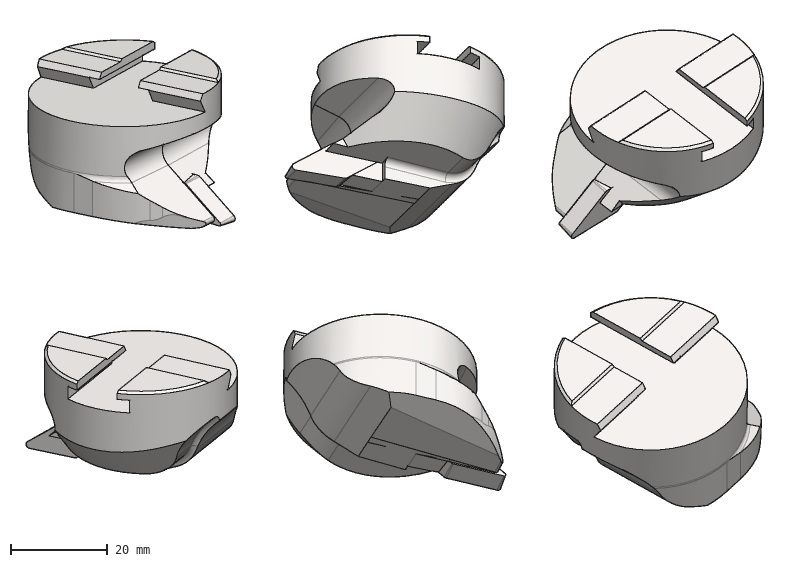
import cadquery as cq
import math


HEAD_RADIUS = 20.0
HEAD_DEPTH = 11.0
REACH = 40.0
LOWEST = -26.0

COUPLING_HEIGHT = 4.75
STEP = 0.5
LEDGE_HEIGHT = COUPLING_HEIGHT - STEP
LEDGE_BACK_Y = 5.95
RIM_CHAMFER = 0.6
DOVETAIL_ROOT_Y = -0.7
DOVETAIL_NOSE_Y = -2.34
DOVETAIL_NOSE_HEIGHT = 2.85
DOVETAIL_TOP_Y = -1.5
SLOT_WIDTH = 9.45
UNDERCUT_WIDTH = 14.45
UNDERCUT_HEIGHT = 2.9

ARM_RADIUS = 20.04
FRONT_FLAT = 4.5
FLANK_START = (16.2, -16.26)
FLANK_END = (18.3, -14.74)
FLANK_BEND = (21.4, -11.7)
FLANK_TIP = (25.2, -7.0)

SHOULDER_FILLET = 1.6
SHOULDER_TURN = math.radians(50)
SHOULDER_OUTER = 30.0

CLEARANCE_CENTER = (-3.15, 10.7)
CLEARANCE_RADIUS = 36.07
CLEARANCE_TAPER = 0.1456

BELLY_Z = -20.05
BELLY_SLOPE = 0.2313

INSERT_TURN = math.radians(3.65)
INSERT_ANGLE = math.radians(35)
BOTTOM_TILT = math.radians(2.9)
TOP_TILT = BOTTOM_TILT + INSERT_ANGLE
INSERT_SIDE = 13.84
INSERT_THICKNESS = 4.6
INSERT_RELIEF = 5.0
NOSE_RADIUS = 0.8
INSERT_TIP = (28.31, -23.39)
SEAT_Y = -2.82

SCOOP_APEX = (6.95, -7.57)
SCOOP_RISE = math.radians(16.7)
SCOOP_RADIUS = 3.87
HOLDER_TIP = (26.2, -22.56)
HOLDER_NOSE_RADIUS = 0.76
GULLET_WALL = 6.3
SEAT_LEDGE_Z = -21.57

LEFT_TOP = (-20.5, -5.2)
LEFT_BULGE = (-17.2, -8.45)
LEFT_TURN = (-14.45, -13.4)
LEFT_HOLLOW_END = (-9.2, -18.66)
LEFT_FOOT_TILT = math.radians(-24)

REAR_TOP = (-20.5, -3.6)
REAR_BULGE = (-16.4, -7.6)
REAR_TURN = (-13.8, -12.3)
REAR_FLOOR_START_X = -7.3
REAR_WALL_Y = 2.63
REAR_FLOOR_Z = -17.2
REAR_FILLET = 1.5
BEVEL_CENTER = (0.4, -11.0, -10.0)
BEVEL_RADIUS = 22.3
BEVEL_SLOPE = 0.934


def ray(start, angle, length):
    """Point at a distance from start, along an angle from the first axis."""
    return (start[0] + length * math.cos(angle), start[1] + length * math.sin(angle))


def insert_plane(offset):
    """Plane parallel to the seat; offset runs from the seat towards the rake face."""
    sine = math.sin(INSERT_TURN)
    cosine = math.cos(INSERT_TURN)
    return cq.Workplane(
        cq.Plane(
            origin=(offset * sine, SEAT_Y + offset * cosine, 0),
            xDir=(cosine, -sine, 0),
            normal=(-sine, -cosine, 0),
        )
    )


def side_plane(y):
    """XZ plane at a given Y; a negative extrusion from it runs towards +Y."""
    return cq.Workplane("XZ", origin=(0, y, 0))


def make_round_head():
    """Head cylinder whose top is cut down to the slotted dovetail coupling."""
    column = cq.Workplane("XY", origin=(0, 0, -HEAD_DEPTH)).circle(HEAD_RADIUS)
    column = column.extrude(HEAD_DEPTH + COUPLING_HEIGHT)
    column = column.faces(">Z").chamfer(STEP, RIM_CHAMFER)
    front_space = (
        cq.Workplane("YZ", origin=(-REACH, 0, 0))
        .moveTo(-REACH, 0)
        .lineTo(DOVETAIL_ROOT_Y, 0)
        .lineTo(DOVETAIL_NOSE_Y, DOVETAIL_NOSE_HEIGHT)
        .lineTo(DOVETAIL_TOP_Y, LEDGE_HEIGHT)
        .lineTo(LEDGE_BACK_Y, LEDGE_HEIGHT)
        .lineTo(LEDGE_BACK_Y + STEP, COUPLING_HEIGHT)
        .lineTo(-REACH, COUPLING_HEIGHT)
        .close()
        .extrude(2 * REACH)
    )
    slot = cq.Workplane("XY").rect(SLOT_WIDTH, 2 * REACH).extrude(COUPLING_HEIGHT)
    undercut = cq.Workplane("XY").rect(UNDERCUT_WIDTH, 2 * REACH).extrude(UNDERCUT_HEIGHT)
    return column.cut(front_space).cut(slot).cut(undercut)


def make_arm_blank():
    """Arm outline run through its full depth and topped by the sloped shoulder."""
    outline = (
        cq.Workplane("XY", origin=(0, 0, LOWEST))
        .moveTo(0, -ARM_RADIUS)
        .lineTo(FRONT_FLAT, -ARM_RADIUS)
        .tangentArcPoint(FLANK_START, relative=False)
        .lineTo(*FLANK_END)
        .tangentArcPoint(FLANK_BEND, relative=False)
        .lineTo(*FLANK_TIP)
        .lineTo(FLANK_TIP[0], 0)
        .lineTo(HEAD_RADIUS, 0)
        .threePointArc((0, HEAD_RADIUS), (-HEAD_RADIUS, 0))
        .lineTo(-ARM_RADIUS, 0)
        .radiusArc((0, -ARM_RADIUS), -ARM_RADIUS)
        .close()
        .extrude(-LOWEST - HEAD_DEPTH)
    )
    half = SHOULDER_TURN / 2
    fillet_mid = (
        HEAD_RADIUS + SHOULDER_FILLET * (1 - math.cos(half)),
        -HEAD_DEPTH - SHOULDER_FILLET * math.sin(half),
    )
    fillet_end = (
        HEAD_RADIUS + SHOULDER_FILLET * (1 - math.cos(SHOULDER_TURN)),
        -HEAD_DEPTH - SHOULDER_FILLET * math.sin(SHOULDER_TURN),
    )
    slope_drop = (SHOULDER_OUTER - fillet_end[0]) / math.tan(SHOULDER_TURN)
    shoulder = (
        cq.Workplane("XZ")
        .moveTo(0, -HEAD_DEPTH)
        .lineTo(HEAD_RADIUS, -HEAD_DEPTH)
        .threePointArc(fillet_mid, fillet_end)
        .lineTo(SHOULDER_OUTER, fillet_end[1] - slope_drop)
        .lineTo(SHOULDER_OUTER, LOWEST)
        .lineTo(0, LOWEST)
        .close()
        .revolve(360, (0, 0, 0), (0, 1, 0))
    )
    clearance = (
        cq.Workplane("XY")
        .center(*CLEARANCE_CENTER)
        .circle(CLEARANCE_RADIUS)
        .workplane(offset=LOWEST)
        .circle(CLEARANCE_RADIUS + LOWEST * CLEARANCE_TAPER)
        .loft()
    )
    return outline.intersect(shoulder).intersect(clearance)


def make_left_cut():
    """S-shaped flank on the -X side, straight along Y."""
    foot = ray(LEFT_HOLLOW_END, LEFT_FOOT_TILT, HEAD_RADIUS)
    return (
        side_plane(-REACH)
        .moveTo(*LEFT_TOP)
        .threePointArc(LEFT_BULGE, LEFT_TURN)
        .tangentArcPoint(LEFT_HOLLOW_END, relative=False)
        .lineTo(*foot)
        .lineTo(foot[0], 2 * LOWEST)
        .lineTo(-REACH, 2 * LOWEST)
        .lineTo(-REACH, LEFT_TOP[1])
        .close()
        .extrude(-2 * REACH)
    )


def make_belly_cut():
    depth = 2 * HEAD_RADIUS * BELLY_SLOPE
    return (
        cq.Workplane("YZ", origin=(-REACH, 0, 0))
        .moveTo(-2 * HEAD_RADIUS, BELLY_Z + HEAD_RADIUS * BELLY_SLOPE)
        .lineTo(0, BELLY_Z - HEAD_RADIUS * BELLY_SLOPE)
        .lineTo(0, LOWEST - depth)
        .lineTo(-2 * HEAD_RADIUS, LOWEST - depth)
        .close()
        .extrude(2 * REACH)
    )


def make_arm_profile_cut(plane, length):
    """Chip scoop, rounded holder nose and tilted bottom, as one prism."""
    scoop_top = ray(SCOOP_APEX, SCOOP_RISE, REACH)
    bottom_left = ray(HOLDER_TIP, math.pi - BOTTOM_TILT, 2 * REACH)
    profile = (
        plane.moveTo(*scoop_top)
        .lineTo(*SCOOP_APEX)
        .lineTo(*HOLDER_TIP)
        .lineTo(*bottom_left)
        .lineTo(bottom_left[0], 2 * LOWEST)
        .lineTo(scoop_top[0], 2 * LOWEST)
        .close()
        .extrude(length)
    )
    middle = plane.workplane(offset=length / 2)
    for corner, radius in ((SCOOP_APEX, SCOOP_RADIUS), (HOLDER_TIP, HOLDER_NOSE_RADIUS)):
        point = middle.plane.toWorldCoords(corner).toTuple()
        profile = profile.edges(cq.NearestToPointSelector(point)).fillet(radius)
    return profile


def make_rear_cut():
    """Space behind the arm: S-shaped side and flat floor, filleted to the arm wall."""
    prism = (
        side_plane(REAR_WALL_Y)
        .moveTo(*REAR_TOP)
        .threePointArc(REAR_BULGE, REAR_TURN)
        .tangentArcPoint((REAR_FLOOR_START_X, REAR_FLOOR_Z), relative=False)
        .lineTo(REACH, REAR_FLOOR_Z)
        .lineTo(REACH, 2 * LOWEST)
        .lineTo(-REACH, 2 * LOWEST)
        .lineTo(-REACH, REAR_TOP[1])
        .close()
        .extrude(-REACH)
    )
    return prism.faces("<Y").edges("%CIRCLE").fillet(REAR_FILLET)


def make_rear_bevel_cut():
    """Everything behind the arm that lies outside a cylinder tilted about X."""
    axis = cq.Plane(origin=BEVEL_CENTER, xDir=(1, 0, 0), normal=(0, BEVEL_SLOPE, 1))
    keep = cq.Workplane(axis).circle(BEVEL_RADIUS).extrude(REACH, both=True)
    block = cq.Workplane("XY", origin=(0, REAR_WALL_Y + REAR_FILLET, REAR_FLOOR_Z))
    block = block.box(2 * REACH, HEAD_RADIUS, -REAR_FLOOR_Z, centered=(True, False, False))
    return block.cut(keep)


def make_insert():
    upper = ray(INSERT_TIP, math.pi - TOP_TILT, INSERT_SIDE)
    lower = ray(INSERT_TIP, math.pi - BOTTOM_TILT, INSERT_SIDE)
    far = (upper[0] + lower[0] - INSERT_TIP[0], upper[1] + lower[1] - INSERT_TIP[1])
    rhombus = cq.Sketch().polygon([INSERT_TIP, upper, far, lower, INSERT_TIP])
    rhombus = rhombus.vertices().fillet(NOSE_RADIUS)
    rake = insert_plane(INSERT_THICKNESS)
    return rake.placeSketch(rhombus).extrude(INSERT_THICKNESS, taper=INSERT_RELIEF)


def make_gullet_cut():
    """Open space in front of the rake face and below the insert seat."""
    gullet = insert_plane(INSERT_THICKNESS).moveTo(GULLET_WALL, 2 * LOWEST)
    gullet = gullet.lineTo(REACH, 2 * LOWEST).lineTo(REACH, REAR_FLOOR_Z)
    gullet = gullet.lineTo(GULLET_WALL, REAR_FLOOR_Z).close().extrude(-REACH)
    ledge = insert_plane(0).moveTo(GULLET_WALL, 2 * LOWEST)
    ledge = ledge.lineTo(REACH, 2 * LOWEST).lineTo(REACH, SEAT_LEDGE_Z)
    ledge = ledge.lineTo(GULLET_WALL, SEAT_LEDGE_Z).close().extrude(-REACH)
    return gullet.union(ledge)


def make_head(insert):
    tip_seat_y = SEAT_Y - HOLDER_TIP[0] * math.sin(INSERT_TURN)
    head = make_round_head().union(make_arm_blank())
    head = head.cut(make_left_cut())
    head = head.cut(make_belly_cut())
    head = head.cut(make_arm_profile_cut(insert_plane(0), REACH))
    head = head.cut(make_arm_profile_cut(side_plane(tip_seat_y), -2 * REACH))
    head = head.cut(make_rear_cut())
    head = head.cut(make_rear_bevel_cut())
    head = head.cut(make_gullet_cut())
    return head.cut(insert)


insert = make_insert()
head = make_head(insert)

result = cq.Compound.makeCompound([*head.vals(), *insert.vals()])